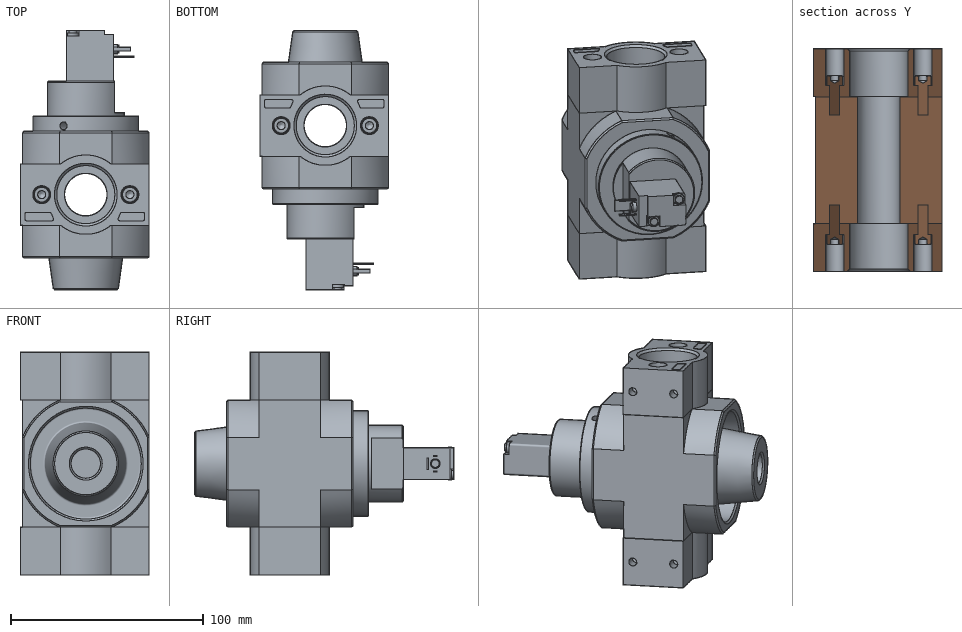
import cadquery as cq
import math


body_width = 66.0
half_width = body_width / 2
end_diameter = 71.4
end_chamfer = 0.8
through_bore_diameter = 22.0
tip_y = -49.5
cone_tip_diameter = 34.0
cone_tip_chamfer = 0.8
cone_slope = 0.14
recess_diameter = 57.8
recess_floor_y = -18.4
recess_mouth_chamfer = 1.0
recess_fillet = 1.0
exhaust_diameter = 15.3
exhaust_depth = 27.0
exhaust_chamfer = 1.0

flange_width = 67.1
flange_depth = 32.0
flange_height = 25.0
flange_left = half_width - flange_width
flange_top = half_width + flange_height
boss_diameter = 41.3
port_diameter = 30.2
port_chamfer = 1.2
side_hole_diameter = 4.2
side_hole_depth = 8.1
side_hole_spacing = 21.9
drill_tip_angle = 118.0
label_margin = 2.4
label_inner_back = 18.2
label_inner_front = 16.3
label_back = -9.2
label_front = -13.6
label_corner_radius = 1.0
label_depth = 0.3

screw_x = 23.0
counterbore_diameter = 9.3
screw_seat_height = 6.0
head_diameter = 8.5
head_height = 5.0
head_chamfer = 0.4
shank_diameter = 5.0
shank_engagement = 9.5
socket_diameter = 4.2
socket_depth = 2.5

ring_diameter = 55.1
ring_end_y = 41.0
ring_chamfer = 0.4
vent_diameter = 4.0
vent_depth = 9.5
vent_y = 35.8
vent_angle = 25.0

cap_diameter = 40.1
cap_end_y = 59.1
cap_chamfer = 0.7
cap_flat_x = 15.0
cap_lip = 1.6

solenoid_end_y = 85.5
solenoid_left = -10.1
solenoid_right = 14.5
solenoid_height = 16.7
solenoid_edge_radius = 1.1
step_width = 4.6
step_depth = 2.0
notch_depth = 2.8
fastener_x = 6.6
fastener_z = 5.7
fastener_diameter = 6.0
fastener_height = 1.6
fastener_cap_diameter = 4.0
contact_y = 75.7
collar_diameter = 5.0
collar_length = 2.0
nut_diameter = 4.0
nut_length = 0.8
pin_width = 2.0
pin_thickness = 0.5
pin_length = 8.9
pin_spacing = 8.0
pin_tip_chamfer = 0.2
earth_tab_y = 71.8
earth_tab_thickness = 0.8
earth_tab_width = 6.0
earth_tab_length = 10.5


def block(x_min, x_max, y_min, y_max, z_min, z_max):
    """Rectangular block between the given limits."""
    size = (x_max - x_min, y_max - y_min, z_max - z_min)
    return cq.Workplane("XY").box(*size, centered=False).translate((x_min, y_min, z_min))


def cylinder(diameter, start, direction, length):
    """Round bar from a start point along a direction."""
    return cq.Workplane(
        cq.Solid.makeCylinder(diameter / 2, length, cq.Vector(*start), cq.Vector(*direction))
    )


def turned(points):
    """Body of revolution about the Y axis from (radius, y) points."""
    return cq.Workplane("XY").polyline(points).close().revolve(360, (0, 0), (0, 1))


def drilled_hole(diameter, start, direction, depth):
    """Blind drilling with a conical bottom."""
    tip = diameter / 2 / math.tan(math.radians(drill_tip_angle / 2))
    profile = [(0, 0), (diameter / 2, 0), (diameter / 2, depth), (0, depth + tip)]
    drill = cq.Workplane("XZ").polyline(profile).close().revolve(360, (0, 0), (0, 1))
    plane = cq.Plane(origin=start, normal=direction)
    return cq.Workplane(drill.val().moved(cq.Location(plane)))


def make_housing():
    """Square block with rounded ends, an exhaust cone in a round recess and a cross bore."""
    middle = block(-half_width, half_width, -flange_depth / 2, flange_depth / 2, -half_width, half_width)
    ends = block(-half_width, half_width, -half_width, half_width, -half_width, half_width)
    ends = ends.intersect(cylinder(end_diameter, (0, -half_width, 0), (0, 1, 0), body_width))
    ends = ends.faces("<Y or >Y").chamfer(end_chamfer)
    housing = middle.union(ends)

    recess_radius = recess_diameter / 2
    mouth_radius = recess_radius + recess_mouth_chamfer
    recess = turned([
        (0, recess_floor_y),
        (recess_radius, recess_floor_y),
        (recess_radius, recess_mouth_chamfer - half_width),
        (mouth_radius, -half_width),
        (0, -half_width),
    ])
    edge_y = tip_y + cone_tip_chamfer
    tip_radius = cone_tip_diameter / 2
    base_radius = tip_radius + cone_slope * (recess_floor_y - edge_y)
    cone = turned([
        (0, recess_floor_y),
        (base_radius, recess_floor_y),
        (tip_radius, edge_y),
        (tip_radius - cone_tip_chamfer, tip_y),
        (0, tip_y),
    ])
    housing = housing.cut(recess).union(cone)
    corner = cq.Vector(mouth_radius, recess_fillet, mouth_radius)
    floor_centre = cq.Vector(0, recess_floor_y, 0)
    floor_edges = cq.selectors.BoxSelector(floor_centre - corner, floor_centre + corner, boundingbox=True)
    housing = housing.edges(floor_edges).fillet(recess_fillet)

    exhaust_radius = exhaust_diameter / 2
    housing = housing.cut(turned([
        (0, tip_y),
        (exhaust_radius + exhaust_chamfer, tip_y),
        (exhaust_radius, tip_y + exhaust_chamfer),
        (exhaust_radius, tip_y + exhaust_depth),
        (0, tip_y + exhaust_depth),
    ]))
    housing = housing.cut(cylinder(through_bore_diameter, (0, 0, -half_width), (0, 0, 1), body_width))
    for side in (-1, 1):
        for x in (-screw_x, screw_x):
            start = (x, 0, side * half_width)
            housing = housing.cut(cylinder(shank_diameter, start, (0, 0, -side), shank_engagement))
    return housing


def make_label_recess(flange_end):
    """Shallow label field near one end of the flange; its inner edge leans away from the port."""
    side = math.copysign(1, flange_end)
    outer_x = flange_end - side * label_margin
    outline = [
        (outer_x, label_front),
        (side * label_inner_front, label_front),
        (side * label_inner_back, label_back),
        (outer_x, label_back),
    ]
    field = cq.Workplane("XY", origin=(0, 0, flange_top)).polyline(outline).close().extrude(-label_depth)
    return field.edges("|Z").fillet(label_corner_radius)


def make_flange():
    """Upper connection flange with its port, screw holes, side holes and label fields."""
    half_depth = flange_depth / 2
    flange = block(flange_left, half_width, -half_depth, half_depth, half_width, flange_top)
    flange = flange.union(cylinder(boss_diameter, (0, 0, half_width), (0, 0, 1), flange_height))
    flange = flange.cut(cylinder(port_diameter, (0, 0, half_width), (0, 0, 1), flange_height))
    flange = flange.faces(">Z").edges(cq.selectors.RadiusNthSelector(0)).chamfer(port_chamfer)

    seat_z = half_width + screw_seat_height
    for x in (-screw_x, screw_x):
        flange = flange.cut(cylinder(shank_diameter, (x, 0, half_width), (0, 0, 1), screw_seat_height))
        flange = flange.cut(cylinder(counterbore_diameter, (x, 0, seat_z), (0, 0, 1), flange_top - seat_z))
    for y in (-side_hole_spacing / 2, side_hole_spacing / 2):
        start = (flange_left, y, half_width + flange_height / 2)
        flange = flange.cut(drilled_hole(side_hole_diameter, start, (1, 0, 0), side_hole_depth))
    for flange_end in (flange_left, half_width):
        flange = flange.cut(make_label_recess(flange_end))
    return flange


def make_screw(x):
    """Socket-head screw of the upper flange."""
    seat_z = half_width + screw_seat_height
    head_top = seat_z + head_height
    screw = cylinder(head_diameter, (x, 0, seat_z), (0, 0, 1), head_height)
    screw = screw.faces(">Z").chamfer(head_chamfer)
    shank_length = screw_seat_height + shank_engagement
    screw = screw.union(cylinder(shank_diameter, (x, 0, seat_z), (0, 0, -1), shank_length))
    return screw.cut(drilled_hole(socket_diameter, (x, 0, head_top), (0, 0, -1), socket_depth))


def make_adapter_ring():
    """Round adapter on the back of the housing, with a slanted radial vent."""
    ring = cylinder(ring_diameter, (0, half_width, 0), (0, 1, 0), ring_end_y - half_width)
    ring = ring.faces(">Y").chamfer(ring_chamfer)
    angle = math.radians(vent_angle)
    outward = cq.Vector(-math.sin(angle), 0, math.cos(angle))
    bottom = cq.Vector(0, vent_y, 0) + outward * (ring_diameter / 2 - vent_depth)
    return ring.cut(cylinder(vent_diameter, bottom.toTuple(), outward.toTuple(), 2 * vent_depth))


def make_pilot_cap():
    """Round cap with a flat on +X that stops short of the adapter ring."""
    cap_radius = cap_diameter / 2
    cap = cylinder(cap_diameter, (0, ring_end_y, 0), (0, 1, 0), cap_end_y - ring_end_y)
    cap = cap.faces(">Y").chamfer(cap_chamfer)
    flat = block(cap_flat_x, cap_radius, ring_end_y + cap_lip, cap_end_y, -cap_radius, cap_radius)
    return cap.cut(flat)


def make_solenoid():
    """Coil block with two corner fasteners and its plug contacts."""
    half_height = solenoid_height / 2
    coil = block(solenoid_left, solenoid_right, cap_end_y, solenoid_end_y, -half_height, half_height)
    coil = coil.edges("|Y and <X").fillet(solenoid_edge_radius)
    step_x = solenoid_right - step_width
    step_y = solenoid_end_y - step_depth
    coil = coil.cut(block(step_x, solenoid_right, step_y, solenoid_end_y, -half_height, half_height))

    floor_y = solenoid_end_y - notch_depth
    reach_x = fastener_x - fastener_diameter / 2
    reach_z = fastener_z - fastener_diameter / 2
    cap_height = notch_depth - fastener_height
    for turn in (0, 180):
        notch = block(solenoid_left, -reach_x, floor_y, solenoid_end_y, reach_z, half_height)
        base = (-fastener_x, floor_y, fastener_z)
        head = cylinder(fastener_diameter, base, (0, 1, 0), fastener_height)
        cap_base = (-fastener_x, floor_y + fastener_height, fastener_z)
        head = head.union(cylinder(fastener_cap_diameter, cap_base, (0, 1, 0), cap_height))
        coil = coil.cut(notch.rotate((0, 0, 0), (0, 1, 0), turn))
        coil = coil.union(head.rotate((0, 0, 0), (0, 1, 0), turn))

    contact_base = (solenoid_right, contact_y, 0)
    coil = coil.union(cylinder(collar_diameter, contact_base, (1, 0, 0), collar_length))
    coil = coil.union(cylinder(nut_diameter, contact_base, (1, 0, 0), collar_length + nut_length))
    for z in (-pin_spacing / 2, pin_spacing / 2):
        pin = cq.Workplane("XY").box(pin_length, pin_width, pin_thickness, centered=(False, True, True))
        pin = pin.faces(">X").edges("|Y").chamfer(pin_tip_chamfer)
        coil = coil.union(pin.translate((solenoid_right, contact_y, z)))
    tab_size = (earth_tab_length, earth_tab_thickness, earth_tab_width)
    tab = cq.Workplane("XY").box(*tab_size, centered=(False, True, True))
    return coil.union(tab.translate((solenoid_right, earth_tab_y, 0)))


housing = make_housing()
upper_flange = make_flange()
upper_screws = [make_screw(x) for x in (-screw_x, screw_x)]
upper_bodies = [upper_flange, *upper_screws]
lower_bodies = [body.mirror("XY") for body in upper_bodies]
adapter_ring = make_adapter_ring()
pilot_cap = make_pilot_cap()
solenoid = make_solenoid()

bodies = [housing, *upper_bodies, *lower_bodies, adapter_ring, pilot_cap, solenoid]
result = cq.Compound.makeCompound([body.val() for body in bodies])